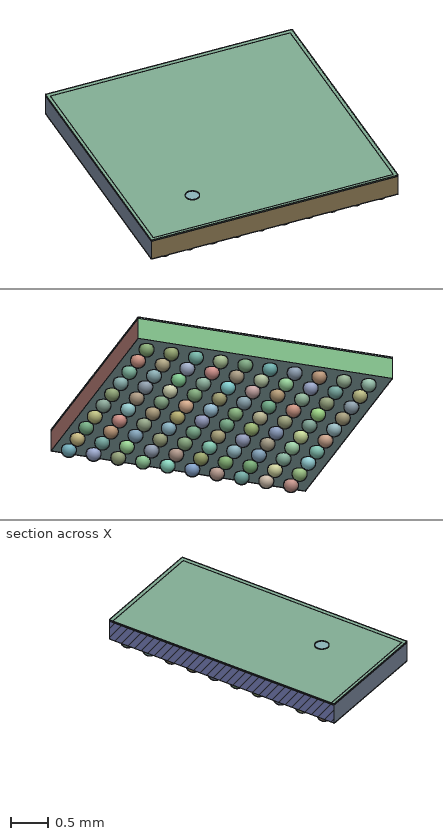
import cadquery as cq
import math

package_x = 3.54
package_y = 3.61
package_height = 0.47

ball_standoff = 0.148
coating_thickness = 0.02
die_thickness = package_height - ball_standoff - coating_thickness

plate_inset = 0.05
skin_thickness = 0.0097
plate_thickness = coating_thickness - skin_thickness

balls_per_side = 10
ball_pitch = 0.35
ball_radius = 0.1
ball_grid_shift_x = -0.005
ball_grid_shift_y = 0.045
ball_centre_z = ball_radius - ball_standoff

mark_x = 1.072
mark_y = -0.9
mark_radius = 0.097


def make_ball():
    """Solder ball cut flat at Z = 0, where it meets the underside of the die."""
    flat_radius = math.sqrt(ball_radius**2 - ball_centre_z**2)
    profile = (
        cq.Workplane("XZ")
        .lineTo(flat_radius, 0)
        .threePointArc((ball_radius, ball_centre_z), (0, -ball_standoff))
        .close()
    )
    return profile.revolve(360, (0, 0), (0, 1)).val()


def make_die():
    """Silicon die with its solder balls fused to the underside."""
    slab = cq.Workplane("XY").rect(package_x, package_y).extrude(die_thickness).val()
    grid_start = -ball_pitch * (balls_per_side - 1) / 2
    ball = make_ball()
    balls = []
    for column in range(balls_per_side):
        for row in range(balls_per_side):
            x = grid_start + column * ball_pitch + ball_grid_shift_x
            y = grid_start + row * ball_pitch + ball_grid_shift_y
            balls.append(ball.translate(cq.Vector(x, y, 0)))
    return cq.Workplane(slab.fuse(*balls))


def make_plate():
    """Thin plate lying on the die, set in from its edges on all four sides."""
    return (
        cq.Workplane("XY", origin=(0, 0, die_thickness))
        .rect(package_x - 2 * plate_inset, package_y - 2 * plate_inset)
        .extrude(plate_thickness)
    )


def make_pin_one_mark():
    """Round mark that fills a hole in the skin, flush with the top of the coating."""
    return (
        cq.Workplane("XY", origin=(mark_x, mark_y, die_thickness + plate_thickness))
        .circle(mark_radius)
        .extrude(skin_thickness)
    )


def make_coating(plate, pin_one_mark):
    """Top coating over the whole die, recessed for the plate and pierced for the mark."""
    coating = (
        cq.Workplane("XY", origin=(0, 0, die_thickness))
        .rect(package_x, package_y)
        .extrude(coating_thickness)
    )
    return coating.cut(plate).cut(pin_one_mark)


die = make_die()
plate = make_plate()
pin_one_mark = make_pin_one_mark()
coating = make_coating(plate, pin_one_mark)

result = cq.Compound.makeCompound([die.val(), plate.val(), coating.val(), pin_one_mark.val()])